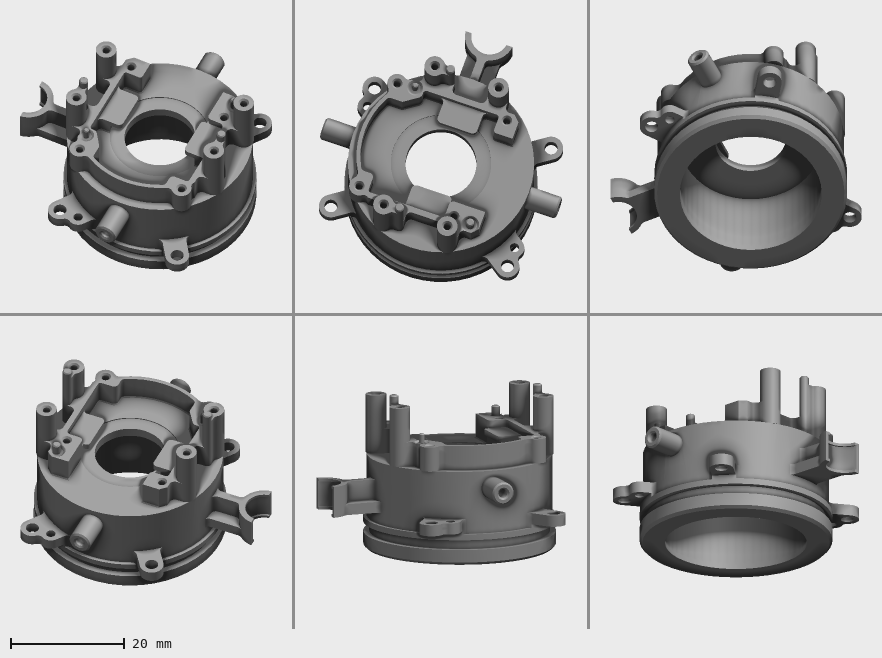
import cadquery as cq
import math

FLANGE_RADIUS = 17.0
FLANGE_TOP = 2.75
FLANGE_CHAMFER = 0.5
GROOVE_RADIUS = 15.95
GROOVE_TOP = 4.5
COLLAR_TOP = 5.55
COLLAR_BLANK_RADIUS = 19.0
BARREL_RADIUS = 16.4
BARREL_TOP = 16.7
BORE_RADIUS = 6.25
CAVITY_RADIUS = 12.5
CAVITY_TOP = 14.8
ROTOR_RADIUS = 8.85
ROTOR_RECESS_DEPTH = 0.2
ROTOR_CLEARANCE_TOP = 18.65

TRUNNION_RADIUS = 2.0
TRUNNION_HEIGHT = 13.65
TRUNNION_TIP = 22.0
TRUNNION_CHAMFER = 0.3
TRUNNION_HOLE_DEPTH = 4.0
TRUNNION_HOLE_DIAMETER = 1.6
TRUNNION_MOUTH_DIAMETER = 2.2

TAB_BOTTOM = 6.2
TAB_TOP = 8.2
TAB_ROOT_BOTTOM = (GROOVE_TOP + COLLAR_TOP) / 2
TAB_HOLE_X = 11.5
TAB_HOLE_Y = 16.5
TAB_REACH = math.hypot(TAB_HOLE_X, TAB_HOLE_Y)
TAB_ANGLE = math.degrees(math.atan2(TAB_HOLE_Y, TAB_HOLE_X))
TAB_RADIUS = 2.1
TAB_HOLE_DIAMETER = 2.3
EAR_REACH = 18.1
EAR_OFFSET = 2.95
EAR_RADIUS = 1.75
EAR_HOLE_DIAMETER = 1.65
ROOT_RADIUS = BARREL_RADIUS - 0.03
ROOT_REACH = 6.5
BLEND_RADIUS = 1.0

CLIP_X = -25.8
CLIP_END_X = FLANGE_RADIUS - 42.3
CLIP_OUTER_RADIUS = 4.4
CLIP_INNER_RADIUS = 3.3
CLIP_GROOVE_RADIUS = 3.7
CLIP_BOTTOM = 7.7
CLIP_TOP = 13.25
CLIP_LIP = 0.5
ARM_PLATE_WIDTH = 6.0
ARM_PLATE_TOP = 9.65
ARM_RIB_WIDTH = 1.5

FRAME_TOP = 21.05
WALL_OUTER_X = 11.5
WALL_INNER_X = 10.45
FRAME_BACK_Y = 10.8
BLOCK_LEFT_X = -7.2
BLOCK_RIGHT_X = 7.1
LEFT_POCKET_BACK_Y = 7.2
BACK_CHAMFER = 1.1
FRAME_OUTER_RADIUS = 14.9
FRAME_INNER_RADIUS = 14.2
BASE_CHAMFER = 0.2
PLATFORM_TOP = 19.7
PLATFORM_INNER_X = 6.1
PLATFORM_BACK_Y = 4.3
PLATFORM_FRONT_Y = -3.05
PLATFORM_CORNER = 0.85
PLATFORM_TIGHT_CORNER = 0.65
POCKET_CORNER = 0.8
SMALL_CORNER = 0.5

POST_X = 13.5
POST_Y = 5.95
POST_RADIUS = 1.82
POST_TOP = 27.15
POST_HOLE_DEPTH = 6.0
TALL_PIN_Y = -3.0
TALL_PIN_RADIUS = 0.8
TALL_PIN_TOP = 28.7
BOSS_X = 10.0
BOSS_Y = -11.75
BOSS_RADIUS = 1.75
SCREW_HOLE_DIAMETER = 1.3
SCREW_MOUTH_DIAMETER = 1.9
FRAME_HOLE_DEPTH = 4.0
FRAME_SCREWS = [(-BOSS_X, BOSS_Y), (BOSS_X, BOSS_Y), (-BOSS_X, 8.75), (9.65, 5.85)]
SHORT_PINS = [(10.2, 9.05, 0.72), (-10.3, -8.5, 0.5)]
SHORT_PIN_TOP = 22.65
PIN_RECESS_WIDTH = 0.9
PIN_RECESS_FLOOR_WIDTH = 0.5
PIN_RECESS_DEPTH = 0.35
PIN_CHAMFER = 0.2

OVERLAP = 1.0


def cylinder(x, y, radius, bottom, top):
    return cq.Workplane("XY", (x, y, bottom)).circle(radius).extrude(top - bottom)


def funnel(x, y, bottom_radius, top_radius, bottom, top):
    cone = cq.Workplane("XY", (x, y, bottom)).circle(bottom_radius)
    return cone.workplane(offset=top - bottom).circle(top_radius).loft()


def block(x_min, x_max, y_min, y_max, bottom, top):
    corner = (x_min, y_min, bottom)
    return cq.Workplane("XY", corner).rect(x_max - x_min, y_max - y_min, centered=False).extrude(top - bottom)


def rounded_prism(corners, bottom, top):
    """Prism over a polygon whose corners are (x, y, rounding radius)."""
    path = cq.Workplane("XY", (0, 0, bottom))
    started = False
    for i, (x, y, radius) in enumerate(corners):
        corner = cq.Vector(x, y)
        previous = cq.Vector(*corners[i - 1][:2])
        following = cq.Vector(*corners[(i + 1) % len(corners)][:2])
        back = (previous - corner).normalized()
        ahead = (following - corner).normalized()
        half_angle = back.getAngle(ahead) / 2
        setback = radius / math.tan(half_angle)
        entry = corner + back * setback
        leave = corner + ahead * setback
        bisector = (back + ahead).normalized()
        middle = corner + bisector * (radius / math.sin(half_angle) - radius)
        path = path.lineTo(entry.x, entry.y) if started else path.moveTo(entry.x, entry.y)
        started = True
        if radius > 0:
            path = path.threePointArc((middle.x, middle.y), (leave.x, leave.y))
    return path.close().extrude(top - bottom)


def blend_upright_edges(solid, points, height, radius):
    """Round the upright edge nearest to each (x, y) point."""
    for x, y in points:
        nearest = cq.selectors.NearestToPointSelector((x, y, height))
        solid = solid.edges("|Z").edges(nearest).fillet(radius)
    return solid


def outer_crossing(center_a, radius_a, center_b, radius_b):
    """Crossing point of two circles that lies farther along +X."""
    a = cq.Vector(*center_a)
    b = cq.Vector(*center_b)
    distance = (b - a).Length
    toward = (b - a).normalized()
    along = (distance**2 + radius_a**2 - radius_b**2) / (2 * distance)
    across = math.sqrt(radius_a**2 - along**2)
    point = a + toward * along + cq.Vector(toward.y, -toward.x) * across
    return point.x, point.y


def bevelled_hole(x, y, top, depth):
    """Cutter for a blind screw hole with a bevelled mouth."""
    bevel = (SCREW_MOUTH_DIAMETER - SCREW_HOLE_DIAMETER) / 2
    drill = cylinder(x, y, SCREW_HOLE_DIAMETER / 2, top - depth, top)
    mouth = funnel(x, y, SCREW_HOLE_DIAMETER / 2, SCREW_MOUTH_DIAMETER / 2, top - bevel, top)
    return drill.union(mouth)


def barrel():
    """Turned cup whose collar is left oversize, to be trimmed together with the tabs."""
    profile = (
        cq.Workplane("XZ")
        .moveTo(CAVITY_RADIUS, 0)
        .lineTo(FLANGE_RADIUS - FLANGE_CHAMFER, 0)
        .lineTo(FLANGE_RADIUS, FLANGE_CHAMFER)
        .lineTo(FLANGE_RADIUS, FLANGE_TOP)
        .lineTo(GROOVE_RADIUS, FLANGE_TOP)
        .lineTo(GROOVE_RADIUS, GROOVE_TOP)
        .lineTo(COLLAR_BLANK_RADIUS, GROOVE_TOP)
        .lineTo(COLLAR_BLANK_RADIUS, COLLAR_TOP)
        .lineTo(BARREL_RADIUS, COLLAR_TOP)
        .lineTo(BARREL_RADIUS, BARREL_TOP)
        .lineTo(BORE_RADIUS, BARREL_TOP)
        .lineTo(BORE_RADIUS, CAVITY_TOP)
        .lineTo(CAVITY_RADIUS, CAVITY_TOP)
        .close()
    )
    return profile.revolve(360, (0, 0, 0), (0, 1, 0)).rotate((0, 0, 0), (0, 0, 1), -90)


def trunnion(side):
    """Round journal along Y; side is -1 or +1."""
    root = BARREL_RADIUS - OVERLAP
    plane = cq.Plane((0, side * root, TRUNNION_HEIGHT), (0, 0, 1), (0, side, 0))
    journal = cq.Workplane(plane).circle(TRUNNION_RADIUS).extrude(TRUNNION_TIP - root)
    journal = journal.faces(">Y" if side > 0 else "<Y").chamfer(TRUNNION_CHAMFER)
    tip_plane = cq.Plane((0, side * TRUNNION_TIP, TRUNNION_HEIGHT), (0, 0, 1), (0, -side, 0))
    hole = cq.Workplane(tip_plane).circle(TRUNNION_HOLE_DIAMETER / 2).extrude(TRUNNION_HOLE_DEPTH)
    bevel = (TRUNNION_MOUTH_DIAMETER - TRUNNION_HOLE_DIAMETER) / 2
    mouth = cq.Workplane(tip_plane).circle(TRUNNION_MOUTH_DIAMETER / 2)
    mouth = mouth.workplane(offset=bevel).circle(TRUNNION_HOLE_DIAMETER / 2).loft()
    return journal.cut(hole).cut(mouth)


def tab(angle, with_ear):
    """Flat lug reaching out at the given angle, drawn along +X and then turned."""
    inner = BARREL_RADIUS - 2 * OVERLAP
    lug = cylinder(0, 0, ROOT_RADIUS, TAB_ROOT_BOTTOM, TAB_TOP)
    lug = lug.union(block(inner, TAB_REACH, -TAB_RADIUS, TAB_RADIUS, TAB_ROOT_BOTTOM, TAB_TOP))
    lug = lug.union(cylinder(TAB_REACH, 0, TAB_RADIUS, TAB_ROOT_BOTTOM, TAB_TOP))
    side = TAB_RADIUS
    if with_ear:
        side = EAR_OFFSET + EAR_RADIUS
        lug = lug.union(block(inner, EAR_REACH, 0, side, TAB_ROOT_BOTTOM, TAB_TOP))
        lug = lug.union(cylinder(EAR_REACH, EAR_OFFSET, EAR_RADIUS, TAB_ROOT_BOTTOM, TAB_TOP))
    roots = [(math.sqrt(ROOT_RADIUS**2 - y**2), y) for y in (-TAB_RADIUS, side)]
    mid_height = (TAB_ROOT_BOTTOM + TAB_TOP) / 2
    lug = blend_upright_edges(lug, roots, mid_height, BLEND_RADIUS)
    if with_ear:
        notch = outer_crossing((TAB_REACH, 0), TAB_RADIUS, (EAR_REACH, EAR_OFFSET), EAR_RADIUS)
        lug = blend_upright_edges(lug, [notch], mid_height, BLEND_RADIUS)
        lug = lug.cut(cylinder(EAR_REACH, EAR_OFFSET, EAR_HOLE_DIAMETER / 2, TAB_ROOT_BOTTOM, TAB_TOP))
    lug = lug.cut(cylinder(TAB_REACH, 0, TAB_HOLE_DIAMETER / 2, TAB_ROOT_BOTTOM, TAB_TOP))
    keep = block(inner, 2 * TAB_REACH, -ROOT_REACH, ROOT_REACH, TAB_ROOT_BOTTOM, TAB_TOP)
    return lug.intersect(keep).rotate((0, 0, 0), (0, 0, 1), angle)


def collar_trim():
    """Ring cutter that brings collar and tab roots to the flange radius below the tabs."""
    ring = cylinder(0, 0, 2 * FLANGE_RADIUS, FLANGE_TOP + OVERLAP, TAB_BOTTOM)
    return ring.cut(cylinder(0, 0, FLANGE_RADIUS, FLANGE_TOP + OVERLAP, TAB_BOTTOM))


def arm_layer(width, bottom, top):
    """Strip from clip to barrel, blended into both."""
    half = width / 2
    layer = cylinder(0, 0, ROOT_RADIUS, bottom, top)
    layer = layer.union(cylinder(CLIP_X, 0, CLIP_OUTER_RADIUS, bottom, top))
    layer = layer.union(block(CLIP_X, -BARREL_RADIUS + OVERLAP, -half, half, bottom, top))
    clip_root = CLIP_X + math.sqrt(CLIP_OUTER_RADIUS**2 - half**2)
    barrel_root = -math.sqrt(ROOT_RADIUS**2 - half**2)
    corners = [(x, y) for x in (clip_root, barrel_root) for y in (-half, half)]
    return blend_upright_edges(layer, corners, (bottom + top) / 2, BLEND_RADIUS)


def clip_arm():
    arm = arm_layer(ARM_PLATE_WIDTH, CLIP_BOTTOM, ARM_PLATE_TOP)
    arm = arm.union(arm_layer(ARM_RIB_WIDTH, ARM_PLATE_TOP, CLIP_TOP))
    arm = arm.cut(cylinder(CLIP_X, 0, CLIP_INNER_RADIUS, CLIP_BOTTOM, CLIP_TOP))
    arm = arm.cut(cylinder(CLIP_X, 0, CLIP_GROOVE_RADIUS, CLIP_BOTTOM + CLIP_LIP, CLIP_TOP - CLIP_LIP))
    root_x = 2 * OVERLAP - BARREL_RADIUS
    keep = block(CLIP_END_X, root_x, -ROOT_REACH, ROOT_REACH, CLIP_BOTTOM, CLIP_TOP)
    return arm.intersect(keep)


def frame_blank():
    """Outer shape of the frame before its opening is cut."""
    back = FRAME_BACK_Y + BASE_CHAMFER
    chamfer = BACK_CHAMFER + BASE_CHAMFER
    right_side = [
        (WALL_OUTER_X - chamfer, back, 0),
        (WALL_OUTER_X, back - chamfer, 0),
        (WALL_OUTER_X, POST_Y + POST_RADIUS, BLEND_RADIUS),
        (POST_X, POST_Y + POST_RADIUS, 0),
        (POST_X, POST_Y - POST_RADIUS, 0),
        (WALL_OUTER_X, POST_Y - POST_RADIUS, BLEND_RADIUS),
        (WALL_OUTER_X, TALL_PIN_Y + TALL_PIN_RADIUS, BLEND_RADIUS),
        (POST_X, TALL_PIN_Y + TALL_PIN_RADIUS, 0),
        (POST_X, -POST_Y - POST_RADIUS, 0),
        (WALL_OUTER_X, -POST_Y - POST_RADIUS, BLEND_RADIUS),
        (WALL_OUTER_X, BOSS_Y, 0),
    ]
    left_side = [(-x, y, radius) for x, y, radius in reversed(right_side)]
    blank = rounded_prism(right_side + left_side, BARREL_TOP, FRAME_TOP)
    rim = cylinder(0, 0, FRAME_OUTER_RADIUS, BARREL_TOP, FRAME_TOP)
    rim_zone = block(-BOSS_X, BOSS_X, -FLANGE_RADIUS, BOSS_Y + OVERLAP, BARREL_TOP, FRAME_TOP)
    blank = blank.union(rim.intersect(rim_zone))

    scallop_drop = 1.55
    scallop_reach = math.sqrt((BOSS_RADIUS + BLEND_RADIUS) ** 2 - scallop_drop**2)
    for side in (-1, 1):
        scallop_x = side * (BOSS_X + scallop_reach)
        scallop = cylinder(scallop_x, BOSS_Y + scallop_drop, BLEND_RADIUS, BARREL_TOP, FRAME_TOP)
        blank = blank.cut(scallop)
    for side in (-1, 1):
        blank = blank.union(cylinder(side * BOSS_X, BOSS_Y, BOSS_RADIUS, BARREL_TOP, FRAME_TOP))
    notches = [(side * 8.5, -12.3) for side in (-1, 1)]
    return blend_upright_edges(blank, notches, (BARREL_TOP + FRAME_TOP) / 2, BLEND_RADIUS)


def frame_opening():
    """Space inside the frame; its bottom edge is bevelled to leave a bevel at the wall foot."""
    beyond_x = POST_X
    beyond_back = FRAME_BACK_Y + 3 * OVERLAP
    beyond_front = -FLANGE_RADIUS
    pin_wall_y = -6.85
    pin_wall_x = -9.1
    pin_wall_corner = 1.0
    pin_wall_foot = 0.6
    left_wall_y = -9.75
    right_wall_y = -9.95
    left = [
        (-beyond_x, beyond_back, 0),
        (-beyond_x, FRAME_BACK_Y, 0),
        (BLOCK_LEFT_X, FRAME_BACK_Y, 0),
        (BLOCK_LEFT_X, LEFT_POCKET_BACK_Y, SMALL_CORNER),
        (-WALL_INNER_X, LEFT_POCKET_BACK_Y, SMALL_CORNER),
        (-WALL_INNER_X, PLATFORM_BACK_Y, POCKET_CORNER),
        (-PLATFORM_INNER_X, PLATFORM_BACK_Y, PLATFORM_CORNER),
        (-PLATFORM_INNER_X, PLATFORM_FRONT_Y, PLATFORM_CORNER),
        (-WALL_INNER_X, PLATFORM_FRONT_Y, POCKET_CORNER),
        (-WALL_INNER_X, pin_wall_y, pin_wall_foot),
        (pin_wall_x, pin_wall_y, pin_wall_corner),
        (-BLOCK_RIGHT_X, left_wall_y, SMALL_CORNER),
        (-BLOCK_RIGHT_X, beyond_front, 0),
    ]
    right = [
        (BLOCK_RIGHT_X, beyond_front, 0),
        (BLOCK_RIGHT_X, right_wall_y, POCKET_CORNER),
        (WALL_INNER_X, right_wall_y, SMALL_CORNER),
        (WALL_INNER_X, PLATFORM_FRONT_Y, POCKET_CORNER),
        (PLATFORM_INNER_X, PLATFORM_FRONT_Y, PLATFORM_CORNER),
        (PLATFORM_INNER_X, PLATFORM_BACK_Y, PLATFORM_TIGHT_CORNER),
        (BLOCK_RIGHT_X, PLATFORM_BACK_Y, 0),
        (BLOCK_RIGHT_X, FRAME_BACK_Y, 0),
        (beyond_x, FRAME_BACK_Y, 0),
        (beyond_x, beyond_back, 0),
    ]
    space = rounded_prism(left + right, BARREL_TOP, FRAME_TOP)
    front_limit = cylinder(0, 0, FRAME_INNER_RADIUS, BARREL_TOP, FRAME_TOP)
    front_limit = front_limit.union(
        block(-FLANGE_RADIUS, FLANGE_RADIUS, right_wall_y - OVERLAP, FLANGE_RADIUS, BARREL_TOP, FRAME_TOP)
    )
    space = space.intersect(front_limit)
    arc_end_y = -math.sqrt(FRAME_INNER_RADIUS**2 - BLOCK_RIGHT_X**2)
    arc_ends = [(-BLOCK_RIGHT_X, arc_end_y), (BLOCK_RIGHT_X, arc_end_y)]
    space = blend_upright_edges(space, arc_ends, (BARREL_TOP + FRAME_TOP) / 2, POCKET_CORNER)
    return space.faces("<Z").edges().chamfer(BASE_CHAMFER)


def platform_recesses():
    """Lower the two platforms beside the bore below the frame top."""
    inner_x = PLATFORM_INNER_X - OVERLAP
    back = PLATFORM_BACK_Y + POCKET_CORNER
    front = PLATFORM_FRONT_Y - POCKET_CORNER
    left = block(-WALL_INNER_X, -inner_x, front, back, PLATFORM_TOP, FRAME_TOP)
    right_corners = [
        (inner_x, back, 0),
        (BLOCK_RIGHT_X, back, 0),
        (BLOCK_RIGHT_X, PLATFORM_BACK_Y, POCKET_CORNER - 0.05),
        (WALL_INNER_X, PLATFORM_BACK_Y, POCKET_CORNER),
        (WALL_INNER_X, front, 0),
        (inner_x, front, 0),
    ]
    return left.union(rounded_prism(right_corners, PLATFORM_TOP, FRAME_TOP))


def post_pair(side):
    """Two screw posts on one side; the front one carries a locating pin on a short web."""
    x = side * POST_X
    posts = cylinder(x, -POST_Y, POST_RADIUS, BARREL_TOP, POST_TOP)
    web = block(
        x - TALL_PIN_RADIUS, x + TALL_PIN_RADIUS, -POST_Y, TALL_PIN_Y, BARREL_TOP, POST_TOP
    )
    posts = posts.union(web)
    root_y = -POST_Y + math.sqrt(POST_RADIUS**2 - TALL_PIN_RADIUS**2)
    roots = [(x - TALL_PIN_RADIUS, root_y), (x + TALL_PIN_RADIUS, root_y)]
    posts = blend_upright_edges(posts, roots, (BARREL_TOP + POST_TOP) / 2, BLEND_RADIUS)
    pin = cylinder(x, TALL_PIN_Y, TALL_PIN_RADIUS, BARREL_TOP, TALL_PIN_TOP)
    posts = posts.union(pin.faces(">Z").chamfer(PIN_CHAMFER))
    return posts.union(cylinder(x, POST_Y, POST_RADIUS, BARREL_TOP, POST_TOP))


def short_pin_recess(x, y, pin_radius):
    floor = FRAME_TOP - PIN_RECESS_DEPTH
    floor_radius = pin_radius + PIN_RECESS_FLOOR_WIDTH
    return funnel(x, y, floor_radius, pin_radius + PIN_RECESS_WIDTH, floor, FRAME_TOP)


def upper_frame():
    frame = frame_blank().cut(frame_opening()).cut(platform_recesses())
    frame = frame.cut(cylinder(0, 0, ROTOR_RADIUS, BARREL_TOP, ROTOR_CLEARANCE_TOP))
    for side in (-1, 1):
        frame = frame.union(post_pair(side))
    for x, y, radius in SHORT_PINS:
        pin = cylinder(x, y, radius, FRAME_TOP - OVERLAP, SHORT_PIN_TOP)
        frame = frame.cut(short_pin_recess(x, y, radius)).union(pin.faces(">Z").chamfer(PIN_CHAMFER))
    for x, y in FRAME_SCREWS:
        frame = frame.cut(bevelled_hole(x, y, FRAME_TOP, FRAME_HOLE_DEPTH))
    for x in (-POST_X, POST_X):
        for y in (-POST_Y, POST_Y):
            frame = frame.cut(bevelled_hole(x, y, POST_TOP, POST_HOLE_DEPTH))
    return frame


body = barrel()
body = body.cut(cylinder(0, 0, ROTOR_RADIUS, BARREL_TOP - ROTOR_RECESS_DEPTH, BARREL_TOP))
body = body.union(clip_arm())
for half_turn in (0, 180):
    body = body.union(tab(TAB_ANGLE + half_turn, with_ear=True))
    body = body.union(tab(180 - TAB_ANGLE + half_turn, with_ear=False))
body = body.cut(collar_trim())
for y_side in (-1, 1):
    body = body.union(trunnion(y_side))
result = body.union(upper_frame())